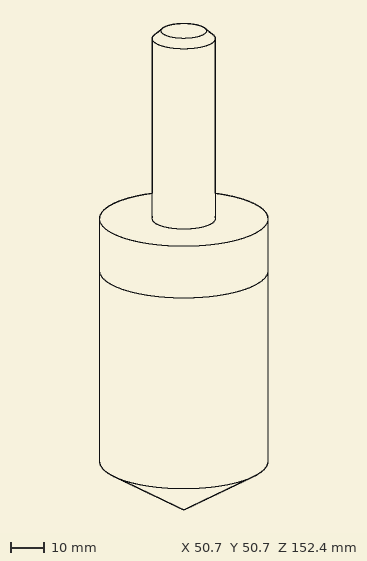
import cadquery as cq

total_height = 152.4
body_diameter = 50.7
cone_height = 15.5
barrel_height = 60.7
collar_height = 16.5
shank_diameter = 19.0
shank_tip_diameter = 13.7
shank_chamfer_height = 2.5

body_radius = body_diameter / 2
shank_radius = shank_diameter / 2
shank_tip_radius = shank_tip_diameter / 2
barrel_top = cone_height + barrel_height
collar_top = barrel_top + collar_height
shank_chamfer_start = total_height - shank_chamfer_height


def revolve_about_z(profile_points):
    """Revolve a closed (radius, height) outline a full turn about the Z axis."""
    outline = cq.Workplane("XZ").polyline(profile_points).close()
    return outline.revolve(360, (0, 0, 0), (0, 1, 0))


def make_pointed_barrel():
    """Solid barrel with a conical point at its lower end."""
    return revolve_about_z([
        (0, 0),
        (body_radius, cone_height),
        (body_radius, barrel_top),
        (0, barrel_top),
    ])


def make_shank_collar():
    """Collar flush with the barrel, carrying the chamfered shank."""
    return revolve_about_z([
        (0, barrel_top),
        (body_radius, barrel_top),
        (body_radius, collar_top),
        (shank_radius, collar_top),
        (shank_radius, shank_chamfer_start),
        (shank_tip_radius, total_height),
        (0, total_height),
    ])


pointed_barrel = make_pointed_barrel()
shank_collar = make_shank_collar()

result = cq.Compound.makeCompound([pointed_barrel.val(), shank_collar.val()])